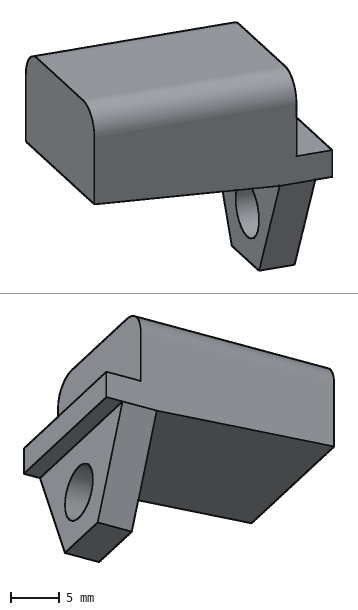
import cadquery as cq

width = 18.0
length = 26.7
height = 23.6

ledge_depth = 4.0
ledge_thickness = 3.02
lug_height = 11.67
front_rise = 1.42
edge_radius = 3.0

lug_thickness = 4.0
lug_setback = 1.9
lug_tip_width = 7.15
hole_diameter = 6.1
hole_offset = 0.5
hole_height = 5.7

lug_back = length - lug_setback
lug_front = lug_back - lug_thickness


def make_body():
    """Block with a rear ledge, a rising underside and rounded upper long edges."""
    block_back = length - ledge_depth
    ledge_top = lug_height + ledge_thickness
    profile = [
        (0, lug_height + front_rise),
        (lug_front, lug_height),
        (length, lug_height),
        (length, ledge_top),
        (block_back, ledge_top),
        (block_back, height),
        (0, height),
    ]
    body = cq.Workplane("YZ").polyline(profile).close().extrude(width / 2, both=True)
    return body.faces(">Z").edges("|Y").fillet(edge_radius)


def make_lug():
    """Tapered plate below the body with an off-centre through hole."""
    outline = [
        (-lug_tip_width / 2, 0),
        (lug_tip_width / 2, 0),
        (width / 2, lug_height),
        (-width / 2, lug_height),
    ]
    back_plane = cq.Workplane("XZ", origin=(0, lug_back, 0))
    plate = back_plane.polyline(outline).close().extrude(lug_thickness)
    hole = (
        back_plane.center(hole_offset, hole_height)
        .circle(hole_diameter / 2)
        .extrude(lug_thickness)
    )
    return plate.cut(hole)


result = make_body().union(make_lug())